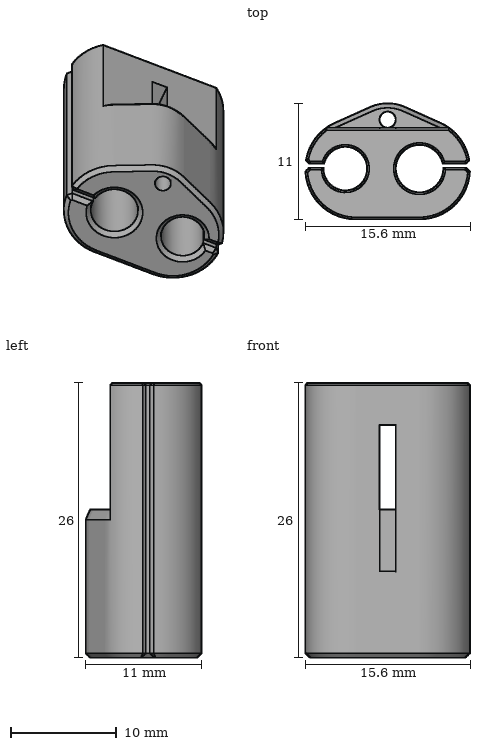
import cadquery as cq
import math

height = 26
end_radius = 4.78
end_center_x = 3.02
hump_radius = 4.0
hump_top_y = 6.21
hump_center_y = hump_top_y - hump_radius

shoulder_y = 3.87
shoulder_z = 14.05
shoulder_bevel_height = 1.0
shoulder_bevel_width = 0.45

bottom_chamfer = 0.45
top_chamfer = 0.2

left_bore_x = -4.0
left_bore_diameter = 4.1
right_bore_diameter = 4.47
bore_y = 0.03
slit_width = 0.36
slit_y = 0.3
slit_chamfer = 0.4

slot_width = 1.5
slot_bottom_z = 8.16
slot_top_z = 22.0
tie_hole_diameter = 1.5
tie_hole_wall = 0.03
tie_hole_y = shoulder_y + tie_hole_wall + tie_hole_diameter / 2


def profile(inset=0.0):
    """Face bounded by tangent arcs and lines around the two ends and the hump."""
    end_r = end_radius - inset
    hump_r = hump_radius - inset
    center_distance = math.hypot(end_center_x, hump_center_y)
    axis_angle = math.atan2(hump_center_y, -end_center_x)
    normal = axis_angle - math.acos((end_radius - hump_radius) / center_distance)
    end_x = end_center_x + end_r * math.cos(normal)
    end_y = end_r * math.sin(normal)
    flank_x = hump_r * math.cos(normal)
    flank_y = hump_center_y + hump_r * math.sin(normal)
    side_x = end_center_x + end_r
    return (
        cq.Sketch()
        .segment((-end_center_x, -end_r), (end_center_x, -end_r))
        .arc((end_center_x, -end_r), (side_x, 0), (end_x, end_y))
        .segment((end_x, end_y), (flank_x, flank_y))
        .arc((flank_x, flank_y), (0, hump_center_y + hump_r), (-flank_x, flank_y))
        .segment((-flank_x, flank_y), (-end_x, end_y))
        .arc((-end_x, end_y), (-side_x, 0), (-end_center_x, -end_r))
        .assemble()
    )


def block(x_range, y_range, z_range):
    """Box spanning the given ranges."""
    spans = (x_range, y_range, z_range)
    size = [high - low for low, high in spans]
    return cq.Workplane().box(*size, centered=False).translate([low for low, high in spans])


def outer_body():
    """Full-height body with a flat upper back, joined to the bevelled hump."""
    reach = height
    full = cq.Workplane().placeSketch(profile()).extrude(height)
    front_side = full.intersect(block((-reach, reach), (-reach, shoulder_y), (0, height)))

    bevel_start = shoulder_z - shoulder_bevel_height
    hump = cq.Workplane().placeSketch(profile()).extrude(bevel_start)
    bevel = (
        cq.Workplane(origin=(0, 0, bevel_start))
        .placeSketch(profile(), profile(shoulder_bevel_width).moved(
            cq.Location(cq.Vector(0, 0, shoulder_bevel_height))))
        .loft()
    )
    back_side = hump.union(bevel).intersect(
        block((-reach, reach), (shoulder_y, reach), (0, height)))
    return front_side.union(back_side)


def cut_bores(body):
    """Vertical through bores of the two clamps."""
    for x, diameter in ((left_bore_x, left_bore_diameter), (end_center_x, right_bore_diameter)):
        bore = cq.Workplane().center(x, bore_y).circle(diameter / 2).extrude(height)
        body = body.cut(bore)
    return body


def cut_slits(body):
    """Side slits into the bores, flared at the outer surface."""
    outer_x = end_center_x + end_radius
    mouth_x = outer_x - slit_chamfer
    half = slit_width / 2
    flare = half + 2 * slit_chamfer
    beyond_x = mouth_x + 2 * slit_chamfer
    for side, bore_x in ((-1, left_bore_x), (1, end_center_x)):
        outline = [
            (side * abs(bore_x), slit_y - half),
            (side * mouth_x, slit_y - half),
            (side * beyond_x, slit_y - flare),
            (side * beyond_x, slit_y + flare),
            (side * mouth_x, slit_y + half),
            (side * abs(bore_x), slit_y + half),
        ]
        body = body.cut(cq.Workplane().polyline(outline).close().extrude(height))
    return body


def cut_tie_passage(body):
    """Slot up to the shoulder plane and a vertical hole through the hump."""
    half = slot_width / 2
    slot = block((-half, half), (-end_radius, shoulder_y), (slot_bottom_z, slot_top_z))
    hole = cq.Workplane().center(0, tie_hole_y).circle(tie_hole_diameter / 2).extrude(height)
    return body.cut(slot).cut(hole)


body = outer_body()
body = cut_bores(body)
body = cut_slits(body)
body = body.faces("<Z").chamfer(bottom_chamfer)
body = body.faces(">Z").chamfer(top_chamfer)
result = cut_tie_passage(body)